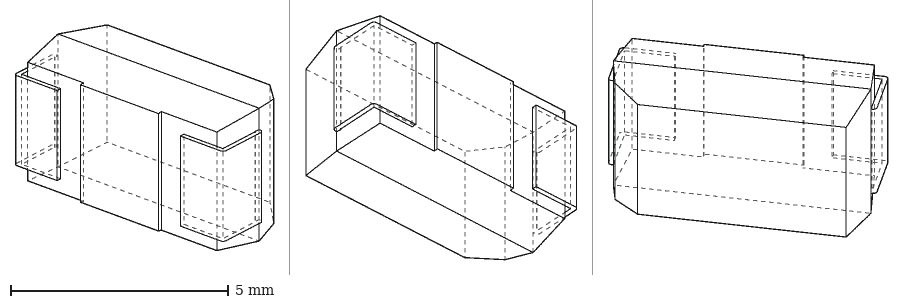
import cadquery as cq
import math

seam_length = 6.05
seam_width = 3.4
top_height = 1.405
floor_depth = 1.3
pad_depth = 1.4
pad_length = 2.345
draft = math.tan(math.radians(8))
plain_end_draft = math.tan(math.radians(12))
bevel_top_x = 2.17
bevel_low_x = 2.83
bevel_low_height = 0.755

lead_span = 6.3
lead_depth = 1.425
lead_thickness = lead_depth - floor_depth
lead_width = 2.305
foot_length = 1.3
bend_radius = 0.095

half_length = seam_length / 2
half_width = seam_width / 2
half_pad = pad_length / 2


def drafted_case(side_outline, outer_y):
    """Prism of the side outline, with its two long sides drafted inwards from the seam."""
    outer_half_width = half_width - draft * abs(outer_y)
    cross_section = [
        (0, -half_width),
        (0, half_width),
        (outer_y, outer_half_width),
        (outer_y, -outer_half_width),
    ]
    prism = cq.Workplane("XY").polyline(side_outline).close().extrude(half_width, both=True)
    envelope = cq.Workplane("YZ").polyline(cross_section).close().extrude(half_length, both=True)
    return prism.intersect(envelope)


def make_upper_case():
    """Upper half, with a polarity bevel across the top edge of its +X end."""
    outline = [
        (-half_length, 0),
        (half_length, 0),
        (bevel_low_x, bevel_low_height),
        (bevel_top_x, top_height),
        (-half_length + plain_end_draft * top_height, top_height),
    ]
    return drafted_case(outline, top_height)


def make_lower_case():
    """Lower half, with a raised pad across the middle of its floor."""
    half_floor = half_length - draft * floor_depth
    outline = [
        (-half_length, 0),
        (-half_floor, -floor_depth),
        (-half_pad, -floor_depth),
        (-half_pad, -pad_depth),
        (half_pad, -pad_depth),
        (half_pad, -floor_depth),
        (half_floor, -floor_depth),
        (half_length, 0),
    ]
    return drafted_case(outline, -pad_depth)


def make_lead(side):
    """C-shaped lead at the +X (side = 1) or -X (side = -1) end; its top lip meets the drafted wall."""
    outer_x = lead_span / 2
    inner_x = outer_x - lead_thickness
    foot_end_x = outer_x - foot_length
    lip_x = half_length - draft * lead_thickness
    outline = [
        (half_length, 0),
        (outer_x, 0),
        (outer_x, -lead_depth),
        (foot_end_x, -lead_depth),
        (foot_end_x, -floor_depth),
        (inner_x, -floor_depth),
        (inner_x, -lead_thickness),
        (lip_x, -lead_thickness),
    ]
    points = [(side * x, y) for x, y in outline]
    lead = cq.Workplane("XY").polyline(points).close().extrude(lead_width / 2, both=True)
    outer_face = ">X" if side > 0 else "<X"
    return lead.faces(outer_face).edges("|Z").fillet(bend_radius)


upper_case = make_upper_case()
lower_case = make_lower_case()
leads = [make_lead(side) for side in (-1, 1)]

result = cq.Compound.makeCompound(
    [upper_case.val(), lower_case.val(), *[lead.val() for lead in leads]]
)